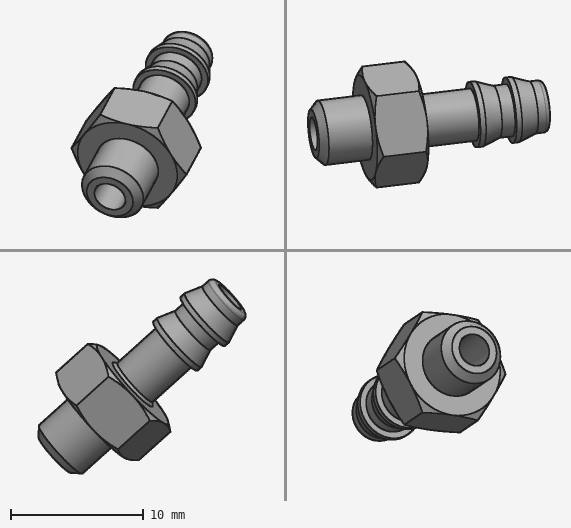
import cadquery as cq
import math

total_length = 18.0
bore_radius = 1.25

stud_radius = 2.47
stud_length = 4.0
stud_chamfer = 0.61

hex_across_flats = 8.0
hex_width = 4.0
hex_chamfer_angle = 30.0
hex_end = stud_length + hex_width

stem_radius = 2.0
stem_root_chamfer = 0.25
tip_round = 0.4

barb_radius = 2.5
barb_land = 0.43
barb_cone = 1.37
first_barb_start = 12.38
barb_pitch = 2.8
barb_count = 2


def revolve_about_y(points):
    """Revolve a closed (radius, y) profile around the Y axis."""
    profile = cq.Workplane("XY").polyline(points).close()
    return profile.revolve(360, (0, 0, 0), (0, 1, 0))


def make_hexagon():
    """Hexagon with flats facing +Z and -Z and conically chamfered corners."""
    flat_radius = hex_across_flats / 2
    corner_radius = flat_radius / math.cos(math.radians(30))
    chamfer = (corner_radius - flat_radius) * math.tan(math.radians(hex_chamfer_angle))
    prism = (
        cq.Workplane("XZ", origin=(0, hex_end, 0))
        .polygon(6, 2 * corner_radius)
        .extrude(hex_width)
    )
    envelope = revolve_about_y([
        (0, stud_length),
        (flat_radius, stud_length),
        (corner_radius, stud_length + chamfer),
        (corner_radius, hex_end - chamfer),
        (flat_radius, hex_end),
        (0, hex_end),
    ])
    return prism.intersect(envelope)


def make_turned_body():
    """Stud, stem and barbs as one turned profile."""
    points = [
        (0, 0),
        (stud_radius - stud_chamfer, 0),
        (stud_radius, stud_chamfer),
        (stud_radius, stud_length),
        (stem_radius + stem_root_chamfer, hex_end),
        (stem_radius, hex_end + stem_root_chamfer),
    ]
    for index in range(barb_count):
        start = first_barb_start + index * barb_pitch
        points += [
            (stem_radius, start),
            (barb_radius, start),
            (barb_radius, start + barb_land),
            (stem_radius, start + barb_land + barb_cone),
        ]
    points += [
        (stem_radius, total_length),
        (0, total_length),
    ]
    return revolve_about_y(points).faces(">Y").edges().fillet(tip_round)


bore = cq.Workplane("XZ").circle(bore_radius).extrude(-total_length)
result = make_turned_body().union(make_hexagon()).cut(bore)